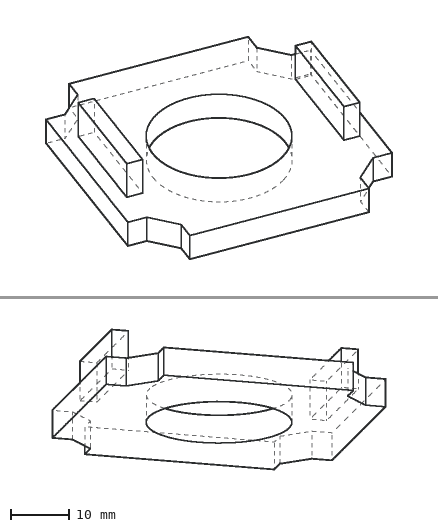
import cadquery as cq

plate_size = 49.8
plate_thickness = 5.0
bore_diameter = 25.0

notch_size = 8.0
notch_wall = 3.6

tab_length = 20.0
tab_thickness = 3.0
tab_height = 7.0
tab_offset = 20.45


def corner_notch(x_sign, y_sign):
    """Cutter for one plate corner, mirrored into place by the signs."""
    half = plate_size / 2
    profile = [
        (half, half),
        (half - notch_size, half),
        (half - notch_size, half - notch_wall),
        (half - notch_wall, half - notch_size),
        (half, half - notch_size),
    ]
    points = [(x_sign * x, y_sign * y) for x, y in profile]
    return cq.Workplane("XY").polyline(points).close().extrude(plate_thickness)


result = (
    cq.Workplane("XY")
    .rect(plate_size, plate_size)
    .circle(bore_diameter / 2)
    .extrude(plate_thickness)
)

for x_sign in (-1, 1):
    for y_sign in (-1, 1):
        result = result.cut(corner_notch(x_sign, y_sign))

tabs = (
    cq.Workplane("XY")
    .workplane(offset=plate_thickness)
    .pushPoints([(0, -tab_offset), (0, tab_offset)])
    .rect(tab_length, tab_thickness)
    .extrude(tab_height)
)
result = result.union(tabs)